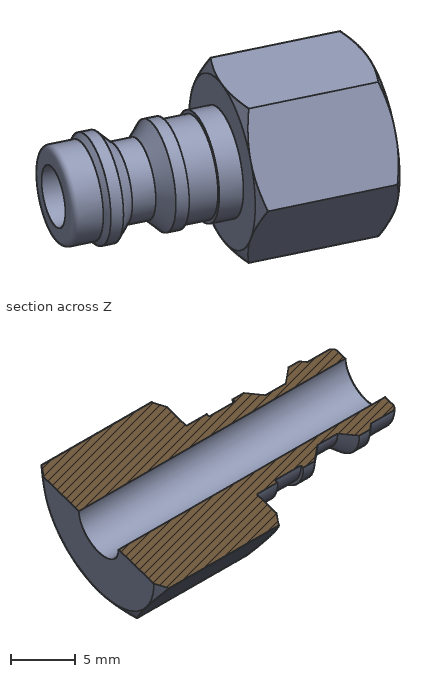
import cadquery as cq
import math

total_length = 26.0
shoulder_y = 14.0

hex_sides = 6
across_flats = 14.0
hex_corner_chamfer_angle = 30.0

bore_diameter = 5.0
tip_diameter = 8.1
collar_diameter = 9.0
neck_diameter = 6.6
relief_diameter = 8.4

tip_rounding = 0.5
tip_end_y = 2.55
collar_start_y = 3.0
collar_end_y = 4.05
neck_start_y = 5.25
neck_end_y = 7.2
middle_land_start_y = 8.4
relief_start_y = 9.5
relief_end_y = 12.0


def revolve_about_y(profile):
    """Close a half profile lying in the XY plane and revolve it a full turn about Y."""
    return profile.close().revolve(360, (0, 0, 0), (0, 1, 0))


def make_hexagon():
    """Hexagonal bar with flats facing +Z/-Z and conically chamfered corners at both ends."""
    flat_radius = across_flats / 2
    corner_radius = flat_radius / math.cos(math.pi / hex_sides)
    chamfer_length = (corner_radius - flat_radius) * math.tan(math.radians(hex_corner_chamfer_angle))
    prism = (
        cq.Workplane("XZ", origin=(0, total_length, 0))
        .polygon(hex_sides, 2 * corner_radius)
        .extrude(total_length - shoulder_y)
    )
    envelope = revolve_about_y(
        cq.Workplane("XY")
        .moveTo(0, shoulder_y)
        .lineTo(flat_radius, shoulder_y)
        .lineTo(corner_radius, shoulder_y + chamfer_length)
        .lineTo(corner_radius, total_length - chamfer_length)
        .lineTo(flat_radius, total_length)
        .lineTo(0, total_length)
    )
    return prism.intersect(envelope)


def make_plug():
    """Stepped round plug, revolved from its half profile (radius along X)."""
    tip_radius = tip_diameter / 2
    collar_radius = collar_diameter / 2
    neck_radius = neck_diameter / 2
    relief_radius = relief_diameter / 2
    return revolve_about_y(
        cq.Workplane("XY")
        .moveTo(0, 0)
        .lineTo(tip_radius - tip_rounding, 0)
        .radiusArc((tip_radius, tip_rounding), -tip_rounding)
        .lineTo(tip_radius, tip_end_y)
        .lineTo(collar_radius, collar_start_y)
        .lineTo(collar_radius, collar_end_y)
        .lineTo(neck_radius, neck_start_y)
        .lineTo(neck_radius, neck_end_y)
        .lineTo(collar_radius, middle_land_start_y)
        .lineTo(collar_radius, relief_start_y)
        .lineTo(relief_radius, relief_start_y)
        .lineTo(relief_radius, relief_end_y)
        .lineTo(collar_radius, relief_end_y)
        .lineTo(collar_radius, shoulder_y)
        .lineTo(0, shoulder_y)
    )


def make_bore():
    """Through bore along the full length."""
    return cq.Workplane("XZ", origin=(0, total_length, 0)).circle(bore_diameter / 2).extrude(total_length)


result = make_hexagon().union(make_plug()).cut(make_bore())